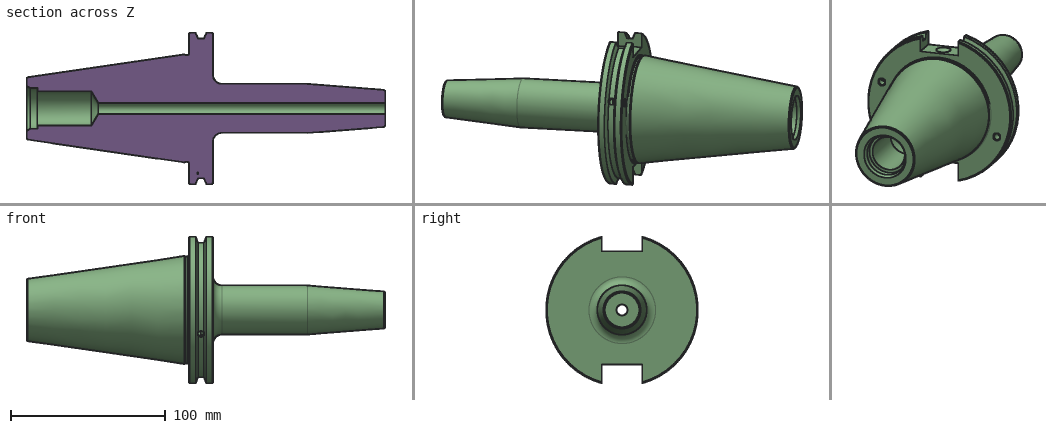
import cadquery as cq
import math

length = 231.5
taper_end = 101.7
relief_start = 102.5
flange_start = 104.7
flange_end = 120.5
cone_start = 181.0

taper_ratio = 7 / 24
taper_big_radius = 70.0 / 2
taper_small_radius = taper_big_radius - taper_end * taper_ratio / 2
taper_chamfer = 0.7
relief_radius = 69.2 / 2
relief_fillet = 0.7

flange_radius = 49.0
flange_chamfer = 0.7
groove_radius = 45.5
groove_floor_width = 3.7
groove_mouth_width = 7.0
groove_center = (flange_start + flange_end) / 2

shank_radius = 32.0 / 2
shank_fillet = 5.5
nose_half_angle = math.radians(4.5)
nose_chamfer = 1.0

mouth_diameter = 28.7
mouth_cone_depth = 2.3
counterbore_diameter = 26.2
counterbore_depth = 7.0
bore_diameter = 22.0
bore_depth = 41.7
drill_tip_half_angle = math.radians(59)
through_diameter = 7.0

slot_width = 26.0
top_slot_height = 38.0
bottom_slot_height = 35.2
dimple_diameter = 9.5
dimple_depth = dimple_diameter / 2 / math.tan(drill_tip_half_angle)

coolant_angle = 20.0
coolant_circle_radius = 42.0
axial_mouth_diameter = 5.0
axial_diameter = 4.2
radial_diameter = 4.2


def make_body():
    nose_radius = shank_radius - (length - cone_start) * math.tan(nose_half_angle)
    chamfer_x = length - nose_chamfer
    chamfer_radius = nose_radius + nose_chamfer * math.tan(nose_half_angle)
    fillet_end = flange_end + shank_fillet
    fillet_mid = shank_fillet * (1 - math.sqrt(0.5))
    profile = (
        cq.Workplane("XY")
        .lineTo(0, taper_small_radius - taper_chamfer)
        .lineTo(taper_chamfer, taper_small_radius + taper_chamfer * taper_ratio / 2)
        .lineTo(taper_end, taper_big_radius)
        .lineTo(relief_start, relief_radius)
        .lineTo(flange_start - relief_fillet, relief_radius)
        .radiusArc((flange_start, relief_radius + relief_fillet), -relief_fillet)
        .lineTo(flange_start, flange_radius - flange_chamfer)
        .lineTo(flange_start + flange_chamfer, flange_radius)
        .lineTo(groove_center - groove_mouth_width / 2, flange_radius)
        .lineTo(groove_center - groove_floor_width / 2, groove_radius)
        .lineTo(groove_center + groove_floor_width / 2, groove_radius)
        .lineTo(groove_center + groove_mouth_width / 2, flange_radius)
        .lineTo(flange_end - flange_chamfer, flange_radius)
        .lineTo(flange_end, flange_radius - flange_chamfer)
        .lineTo(flange_end, shank_radius + shank_fillet)
        .threePointArc((flange_end + fillet_mid, shank_radius + fillet_mid), (fillet_end, shank_radius))
        .lineTo(cone_start, shank_radius)
        .lineTo(chamfer_x, chamfer_radius)
        .lineTo(length, nose_radius - nose_chamfer)
        .lineTo(length, 0)
        .close()
    )
    return profile.revolve(360, (0, 0, 0), (1, 0, 0))


def make_bore():
    through_radius = through_diameter / 2
    tip_length = (bore_diameter / 2 - through_radius) / math.tan(drill_tip_half_angle)
    profile = (
        cq.Workplane("XY")
        .lineTo(0, mouth_diameter / 2)
        .lineTo(mouth_cone_depth, counterbore_diameter / 2)
        .lineTo(counterbore_depth, counterbore_diameter / 2)
        .lineTo(counterbore_depth, bore_diameter / 2)
        .lineTo(bore_depth, bore_diameter / 2)
        .lineTo(bore_depth + tip_length, through_radius)
        .lineTo(length, through_radius)
        .lineTo(length, 0)
        .close()
    )
    return profile.revolve(360, (0, 0, 0), (1, 0, 0))


def make_slot(floor_height):
    """Drive slot across the full flange, open toward +Z."""
    return cq.Workplane("XY").box(
        flange_end - flange_start, slot_width, flange_radius, centered=(False, True, False)
    ).translate((flange_start, 0, floor_height))


def make_dimple():
    """Conical dimple in the floor of the upper drive slot."""
    return cq.Workplane(
        cq.Solid.makeCone(
            dimple_diameter / 2, 0, dimple_depth,
            cq.Vector(groove_center, 0, top_slot_height), cq.Vector(0, 0, -1),
        )
    )


def make_coolant_hole():
    """Countersunk axial hole from the flange face meeting a radial hole from the groove."""
    axial_mouth = cq.Vector(flange_start, coolant_circle_radius, 0)
    radial_start = cq.Vector(groove_center, coolant_circle_radius, 0)
    inward = cq.Vector(1, 0, 0)
    outward = cq.Vector(0, 1, 0)
    countersink_depth = (axial_mouth_diameter - axial_diameter) / 2
    axial = cq.Solid.makeCylinder(axial_diameter / 2, groove_center - flange_start, axial_mouth, inward)
    countersink = cq.Solid.makeCone(
        axial_mouth_diameter / 2, axial_diameter / 2, countersink_depth, axial_mouth, inward
    )
    radial = cq.Solid.makeCylinder(
        radial_diameter / 2, flange_radius - coolant_circle_radius, radial_start, outward
    )
    return cq.Workplane(axial).union(cq.Workplane(countersink)).union(cq.Workplane(radial))


result = make_body().cut(make_bore())
result = result.cut(make_slot(top_slot_height))
result = result.cut(make_slot(bottom_slot_height).rotate((0, 0, 0), (1, 0, 0), 180))
result = result.cut(make_dimple())
for angle in (coolant_angle, coolant_angle + 180):
    result = result.cut(make_coolant_hole().rotate((0, 0, 0), (1, 0, 0), angle))